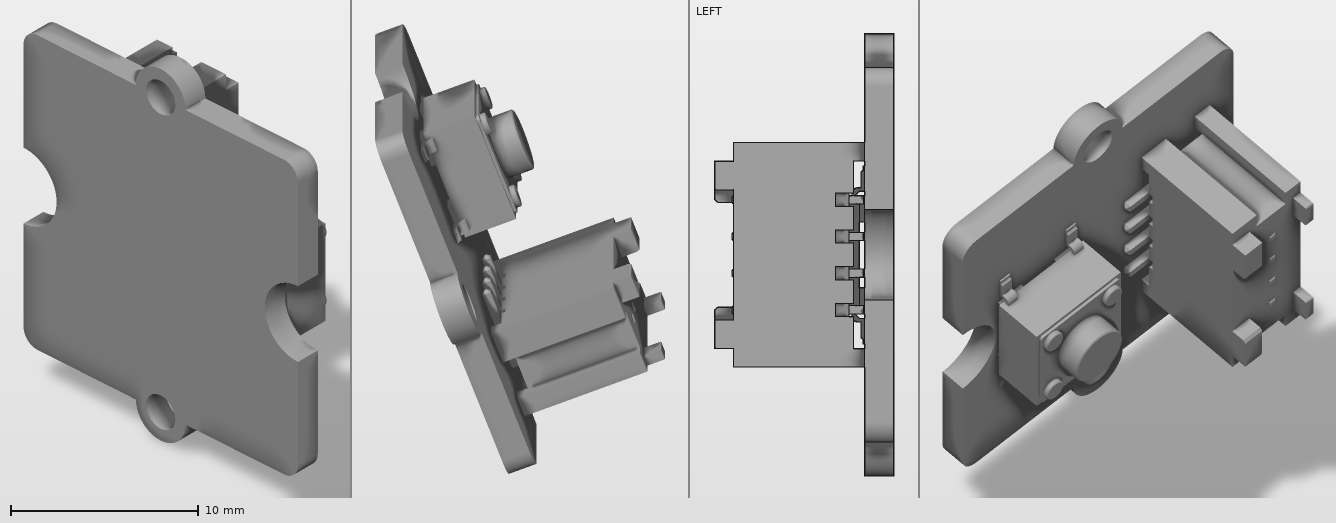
import cadquery as cq
import math

BOARD_SIDE = 20.0
OVERALL_LENGTH = 23.6
BOARD_THICK = 1.55
BOARD_CORNER_R = 1.01
EAR_R = (OVERALL_LENGTH - BOARD_SIDE) / 2
EAR_HOLE_R = 1.06
SIDE_NOTCH_R = 2.4

HOUSING_X_MIN = -8.24
HOUSING_X_MAX = -3.2
HOUSING_HALF_LENGTH = 6.0
HOUSING_HEIGHT = 7.0
END_RECESS_X_MIN = -7.13
END_RECESS_X_MAX = -5.0
END_RECESS_DEPTH = 1.0
CORE_HALF_LENGTH = HOUSING_HALF_LENGTH - END_RECESS_DEPTH
RELIEF_HEIGHT = 0.6
TAB_HEIGHT = 1.0
THIN_TAB_THICK = 0.55
THIN_TAB_LENGTH = 1.53
THIN_TAB_BEVEL = 0.06
THICK_TAB_THICK = 1.25
THICK_TAB_LENGTH = 2.22
THICK_TAB_BEVEL = 0.17

NOTCH_WIDTH = 0.7
CHANNEL_HEIGHT = 0.83
NOTCH_HEIGHT = 1.55
NOTCH_LEDGE = 0.25

PIN_COUNT = 4
PIN_PITCH = 1.95
PIN_SIDE = 0.45
PIN_X_MIN = -6.35
PIN_FOOT_X_MAX = -1.8
PIN_PROUD = 0.07
PIN_HEIGHT = HOUSING_HEIGHT + PIN_PROUD
PIN_TIP_CHAMFER = 0.07
PIN_FOOT_CHAMFER = 0.17
PIN_HEEL_CHAMFER = 0.07

BUTTON_X = 4.48
BUTTON_SIDE = 6.2
BUTTON_STANDOFF = 0.28
BUTTON_TOP = 3.19
COVER_SIDE = 5.8
COVER_THICK = 0.17
COVER_CORNER_R = 0.24
COVER_TOP = BUTTON_TOP + COVER_THICK
RIVET_R = 0.61
RIVET_OFFSET = 2.17
RIVET_HEIGHT = 0.3
RIVET_CHAMFER = 0.05
PLUNGER_R = 1.7
PLUNGER_TOP = 4.8
PLUNGER_CHAMFER = 0.07
POST_X_INNER = 1.2
POST_OUTER = 2.93
POST_Z_INNER = 1.75

LEG_OFFSET = 2.43
LEG_WIDTH = 0.68
LEG_THICK = 0.2
LEG_TOP = 0.68
LEG_BEND_R = 0.33
LEG_UNDERSIDE = 0.55
LEG_UNDERSIDE_SLOPE = 0.25
LEG_OUTER_Z = 3.59
LEG_EMBED = 0.24
LEG_ROOT_Z = BUTTON_SIDE / 2 - LEG_EMBED
FOOT_END_Z = 4.41
TOE_SLOPE = 0.1
TOE_THICK = 0.083
TOE_END_Z = 4.75


def block(x_range, height_range, z_range):
    """Box whose heights are measured from the component face of the board."""
    x0, x1 = x_range
    h0, h1 = height_range
    z0, z1 = z_range
    return cq.Workplane("XY").box(x1 - x0, h1 - h0, z1 - z0, centered=False).translate(
        (x0, BOARD_THICK + h0, z0)
    )


def disc(x, z, radius, bottom, top):
    """Cylinder along Y between two heights above the component face."""
    plane = cq.Plane(origin=(x, BOARD_THICK + bottom, z), xDir=(0, 0, 1), normal=(0, 1, 0))
    return cq.Workplane(plane).circle(radius).extrude(top - bottom)


def make_board():
    half = BOARD_SIDE / 2
    base = -BOARD_THICK
    board = block((-half, half), (base, 0), (-half, half)).edges("|Y").fillet(BOARD_CORNER_R)
    for z in (-half, half):
        board = board.union(disc(0, z, EAR_R, base, 0))
    for z in (-half, half):
        board = board.cut(disc(0, z, EAR_HOLE_R, base, 0))
    for x in (-half, half):
        board = board.cut(disc(x, 0, SIDE_NOTCH_R, base, 0))
    return board


def make_pin(z):
    """L-shaped square pin: upright post with a foot running along the board toward +X."""
    z_range = (z - PIN_SIDE / 2, z + PIN_SIDE / 2)
    post = block((PIN_X_MIN, PIN_X_MIN + PIN_SIDE), (0, PIN_HEIGHT), z_range)
    foot = block((PIN_X_MIN, PIN_FOOT_X_MAX), (0, PIN_SIDE), z_range)
    post = post.faces(">Y").chamfer(PIN_TIP_CHAMFER)
    foot = foot.faces(">X").chamfer(PIN_FOOT_CHAMFER)
    return post.union(foot).edges("<X and <Y").chamfer(PIN_HEEL_CHAMFER)


def make_tabs():
    """Tabs on the outer rim of the housing: a mirrored pair on each long wall."""
    tab_range = (HOUSING_HEIGHT, HOUSING_HEIGHT + TAB_HEIGHT)
    thin = block(
        (HOUSING_X_MIN, HOUSING_X_MIN + THIN_TAB_THICK),
        tab_range,
        (CORE_HALF_LENGTH - THIN_TAB_LENGTH, CORE_HALF_LENGTH),
    )
    thin = thin.faces(">Y").edges("|X").chamfer(THIN_TAB_BEVEL)
    thick = block(
        (HOUSING_X_MAX - THICK_TAB_THICK, HOUSING_X_MAX),
        tab_range,
        (CORE_HALF_LENGTH - THICK_TAB_LENGTH, CORE_HALF_LENGTH),
    )
    thick = thick.edges(">Y and <Z").chamfer(THICK_TAB_BEVEL)
    return [thin, thin.mirror("XY"), thick, thick.mirror("XY")]


def make_notch(z):
    """Underside channel along X that opens upward, through a 45 degree slope, at the -X wall."""
    slope_rise = NOTCH_HEIGHT - CHANNEL_HEIGHT
    ledge_x = HOUSING_X_MIN + NOTCH_LEDGE
    profile = [
        (HOUSING_X_MIN, 0),
        (HOUSING_X_MAX, 0),
        (HOUSING_X_MAX, CHANNEL_HEIGHT),
        (ledge_x + slope_rise, CHANNEL_HEIGHT),
        (ledge_x, NOTCH_HEIGHT),
        (HOUSING_X_MIN, NOTCH_HEIGHT),
    ]
    notch = cq.Workplane("XY").polyline(profile).close().extrude(NOTCH_WIDTH)
    return notch.translate((0, BOARD_THICK, z - NOTCH_WIDTH / 2))


def make_housing(pin_positions):
    full_x = (HOUSING_X_MIN, HOUSING_X_MAX)
    housing = block(full_x, (0, HOUSING_HEIGHT), (-HOUSING_HALF_LENGTH, HOUSING_HALF_LENGTH))
    for z_range in (
        (-HOUSING_HALF_LENGTH, -CORE_HALF_LENGTH),
        (CORE_HALF_LENGTH, HOUSING_HALF_LENGTH),
    ):
        recess = block((END_RECESS_X_MIN, END_RECESS_X_MAX), (0, HOUSING_HEIGHT), z_range)
        housing = housing.cut(recess)
    relief = block(full_x, (0, RELIEF_HEIGHT), (-CORE_HALF_LENGTH, CORE_HALF_LENGTH))
    housing = housing.cut(relief)
    for tab in make_tabs():
        housing = housing.union(tab)
    for z in pin_positions:
        bore = block(
            (PIN_X_MIN, PIN_X_MIN + PIN_SIDE),
            (0, HOUSING_HEIGHT),
            (z - PIN_SIDE / 2, z + PIN_SIDE / 2),
        )
        housing = housing.cut(make_notch(z)).cut(bore)
    return housing


def make_leg(x):
    """Leg at the +Z end: leaves the button level, bends down to the board and ends in a thin toe."""
    inner_z = LEG_OUTER_Z - LEG_THICK
    bend_z = LEG_OUTER_Z - LEG_BEND_R
    bend_height = LEG_TOP - LEG_BEND_R
    arc_mid = LEG_BEND_R * math.sqrt(0.5)
    profile = (
        cq.Workplane("ZY")
        .moveTo(LEG_ROOT_Z, LEG_TOP)
        .lineTo(bend_z, LEG_TOP)
        .threePointArc((bend_z + arc_mid, bend_height + arc_mid), (LEG_OUTER_Z, bend_height))
        .lineTo(LEG_OUTER_Z, LEG_THICK)
        .lineTo(FOOT_END_Z, LEG_THICK)
        .lineTo(FOOT_END_Z + TOE_SLOPE, TOE_THICK)
        .lineTo(TOE_END_Z, TOE_THICK)
        .lineTo(TOE_END_Z, 0)
        .lineTo(inner_z, 0)
        .lineTo(inner_z, LEG_UNDERSIDE - LEG_UNDERSIDE_SLOPE)
        .lineTo(inner_z - LEG_UNDERSIDE_SLOPE, LEG_UNDERSIDE)
        .lineTo(LEG_ROOT_Z, LEG_UNDERSIDE)
        .close()
    )
    return profile.extrude(LEG_WIDTH).translate((x + LEG_WIDTH / 2, BOARD_THICK, 0))


def make_button():
    half = BUTTON_SIDE / 2
    half_cover = COVER_SIDE / 2
    body_x = (BUTTON_X - half, BUTTON_X + half)
    cover_x = (BUTTON_X - half_cover, BUTTON_X + half_cover)
    button = block(body_x, (BUTTON_STANDOFF, BUTTON_TOP), (-half, half))
    cover = block(cover_x, (BUTTON_TOP, COVER_TOP), (-half_cover, half_cover))
    button = button.union(cover.edges("|Y").fillet(COVER_CORNER_R))

    plunger = disc(BUTTON_X, 0, PLUNGER_R, BUTTON_TOP, PLUNGER_TOP)
    button = button.union(plunger.faces(">Y").chamfer(PLUNGER_CHAMFER))

    for x_side in (-1, 1):
        leg = make_leg(BUTTON_X + x_side * LEG_OFFSET)
        button = button.union(leg).union(leg.mirror("XY"))
        post_x = sorted((BUTTON_X + x_side * POST_X_INNER, BUTTON_X + x_side * POST_OUTER))
        for z_side in (-1, 1):
            x = BUTTON_X + x_side * RIVET_OFFSET
            rivet = disc(x, z_side * RIVET_OFFSET, RIVET_R, BUTTON_TOP, COVER_TOP + RIVET_HEIGHT)
            button = button.union(rivet.faces(">Y").chamfer(RIVET_CHAMFER))
            post_z = sorted((z_side * POST_Z_INNER, z_side * POST_OUTER))
            button = button.union(block(post_x, (0, BUTTON_STANDOFF), post_z))
    return button


pin_positions = [(i - (PIN_COUNT - 1) / 2) * PIN_PITCH for i in range(PIN_COUNT)]

board = make_board()
housing = make_housing(pin_positions)
pins = [make_pin(z) for z in pin_positions]
button = make_button()

result = cq.Compound.makeCompound(
    [board.val(), housing.val(), button.val(), *[pin.val() for pin in pins]]
)